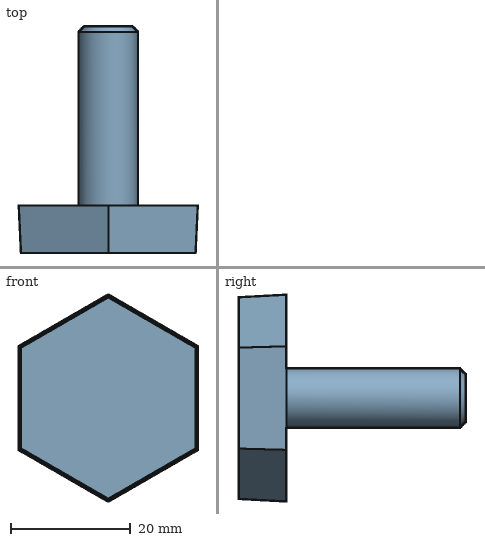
import cadquery as cq
import math

head_width = 30.0
outer_face_width = 29.25
head_thickness = 8.0
head_sides = 6

shank_diameter = 10.0
shank_length = 30.0
tip_chamfer = 1.0


def make_head():
    """Hexagonal frustum from Y = 0 to Y = -head_thickness, with flats facing +X and -X."""
    half_side_angle = 180 / head_sides
    across_corners = head_width / math.cos(math.radians(half_side_angle))
    flat_inset = (head_width - outer_face_width) / 2
    draft_angle = math.degrees(math.atan(flat_inset / head_thickness))
    return (
        cq.Workplane("XZ")
        .transformed(rotate=(0, 0, half_side_angle))
        .polygon(head_sides, across_corners)
        .extrude(head_thickness, taper=draft_angle)
    )


def make_shank():
    """Round shank from Y = 0 to Y = shank_length, with a chamfered tip."""
    return (
        cq.Workplane("XZ")
        .circle(shank_diameter / 2)
        .extrude(-shank_length)
        .faces(">Y")
        .chamfer(tip_chamfer)
    )


result = make_head().union(make_shank())